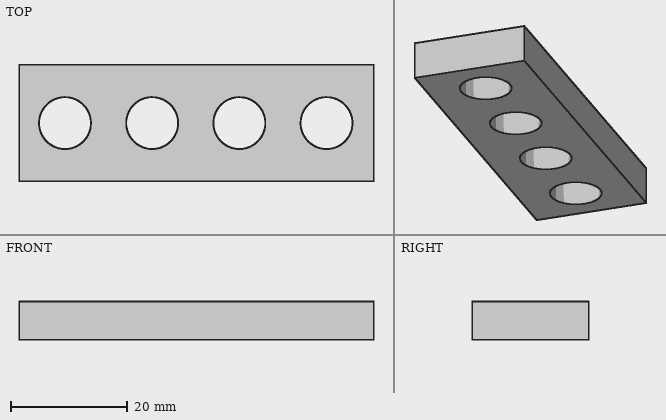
import cadquery as cq

plate_length = 60.96
plate_width = 20.07
plate_thickness = 6.6

hole_diameter = 8.89
hole_count = 4
hole_pitch = 14.986
first_hole_from_left_end = 7.874


def make_plate():
    """Flat bar with its left end at X = 0, centred on Y, resting on Z = 0."""
    return cq.Workplane("XY").box(
        plate_length, plate_width, plate_thickness, centered=(False, True, False)
    )


def make_hole_cutters():
    """Cylinders that pass through the full thickness, evenly spaced along X."""
    centers = [(first_hole_from_left_end + i * hole_pitch, 0) for i in range(hole_count)]
    return cq.Workplane("XY").pushPoints(centers).circle(hole_diameter / 2).extrude(plate_thickness)


result = make_plate().cut(make_hole_cutters())